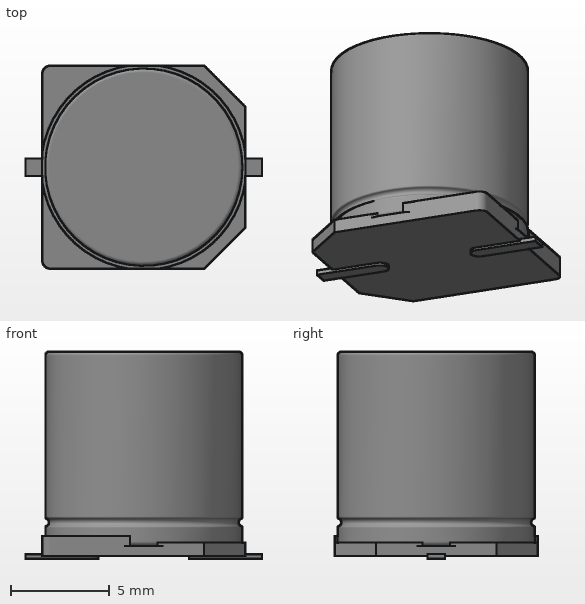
import cadquery as cq
import math

TOTAL_LENGTH = 12.0
TOTAL_HEIGHT = 10.5

BASE_SIDE = 10.3
BASE_BOTTOM = 0.15
BASE_TOP_HIGH = 1.16
BASE_TOP_LOW = 0.83
BASE_CHAMFER = 2.09
BASE_CORNER_RADIUS = 0.43
RECESS_RADIUS = 5.2
RECESS_FLOOR = 0.66

CAN_DIAMETER = 10.0
CAN_EDGE_RADIUS = 0.2
GROOVE_HEIGHT = 1.85
GROOVE_HALF_WIDTH = 0.28
GROOVE_LIP_RADIUS = 0.1
GROOVE_RADIUS = 0.2

LEAD_WIDTH = 0.9
LEAD_THICKNESS = 0.24
LEAD_INNER_END = 2.28


def make_base():
    """Square base with two chamfered corners, two rounded ones and a round seat for the can."""
    height = BASE_TOP_HIGH - BASE_BOTTOM
    base = cq.Workplane("XY", origin=(0, 0, BASE_BOTTOM)).rect(BASE_SIDE, BASE_SIDE).extrude(height)
    base = base.edges("|Z and >X").chamfer(BASE_CHAMFER)
    base = base.edges("|Z and <X").fillet(BASE_CORNER_RADIUS)

    seat_plane = cq.Workplane("XY", origin=(0, 0, RECESS_FLOOR))
    seat = seat_plane.circle(RECESS_RADIUS).extrude(BASE_TOP_HIGH - RECESS_FLOOR)
    low_half = cq.Workplane("XY", origin=(0, 0, BASE_TOP_LOW)).box(
        BASE_SIDE, BASE_SIDE, BASE_TOP_HIGH - BASE_TOP_LOW, centered=(False, True, False)
    )
    return base.cut(seat).cut(low_half)


def make_can():
    """Solid of revolution with rounded ends and a rolled groove near the bottom."""
    radius = CAN_DIAMETER / 2
    edge_center = radius - CAN_EDGE_RADIUS
    edge_mid = edge_center + CAN_EDGE_RADIUS * math.sqrt(0.5)
    edge_mid_inset = CAN_EDGE_RADIUS * (1 - math.sqrt(0.5))

    sweep = math.asin(GROOVE_HALF_WIDTH / (GROOVE_LIP_RADIUS + GROOVE_RADIUS))

    def lip_point(angle, side):
        inset = GROOVE_LIP_RADIUS * (1 - math.cos(angle))
        offset = GROOVE_HALF_WIDTH - GROOVE_LIP_RADIUS * math.sin(angle)
        return (radius - inset, GROOVE_HEIGHT + side * offset)

    groove_depth = (GROOVE_LIP_RADIUS + GROOVE_RADIUS) * (1 - math.cos(sweep))

    profile = (
        cq.Workplane("XZ")
        .moveTo(0, RECESS_FLOOR)
        .lineTo(edge_center, RECESS_FLOOR)
        .threePointArc((edge_mid, RECESS_FLOOR + edge_mid_inset), (radius, RECESS_FLOOR + CAN_EDGE_RADIUS))
        .lineTo(*lip_point(0, -1))
        .threePointArc(lip_point(sweep / 2, -1), lip_point(sweep, -1))
        .threePointArc((radius - groove_depth, GROOVE_HEIGHT), lip_point(sweep, 1))
        .threePointArc(lip_point(sweep / 2, 1), lip_point(0, 1))
        .lineTo(radius, TOTAL_HEIGHT - CAN_EDGE_RADIUS)
        .threePointArc((edge_mid, TOTAL_HEIGHT - edge_mid_inset), (edge_center, TOTAL_HEIGHT))
        .lineTo(0, TOTAL_HEIGHT)
        .close()
    )
    return profile.revolve(360, (0, 0, 0), (0, 1, 0))


def make_lead(side):
    """Flat lead with a square outer end and a full-round inner end; side is -1 or +1 along X."""
    half_width = LEAD_WIDTH / 2
    outer = side * TOTAL_LENGTH / 2
    round_start = side * (LEAD_INNER_END + half_width)
    return (
        cq.Workplane("XY")
        .moveTo(outer, -half_width)
        .lineTo(round_start, -half_width)
        .threePointArc((side * LEAD_INNER_END, 0), (round_start, half_width))
        .lineTo(outer, half_width)
        .close()
        .extrude(LEAD_THICKNESS)
    )


result = make_base().union(make_can())
for lead_side in (-1, 1):
    result = result.union(make_lead(lead_side))